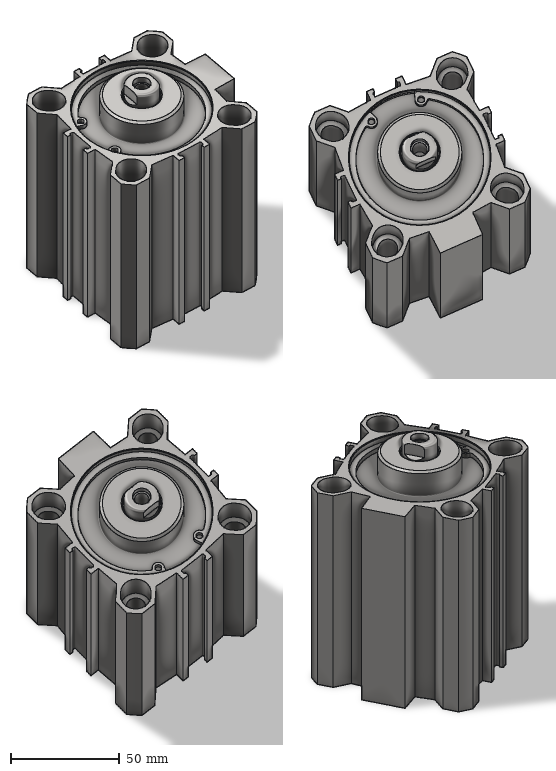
import cadquery as cq
import math

HALF_WIDTH = 40.0
HOUSING_HEIGHT = 101.8
OVERALL_HEIGHT = 117.0
LUG_CORNER_RADIUS = 53.1
LUG_INNER_EDGE = 27.1
LUG_FLANK_RUN = 6.4
WALL_PEAK = 35.3

RAIL_HALF_WIDTH = 9.0
RAIL_TOP = 39.1
RAIL_LIP_THICKNESS = 1.9
SLOT_FLOOR = 35.1
SLOT_NECK_WIDTH = 11.5
SLOT_CHAMBER_WIDTH = 13.3
SLOT_CORNER_RADIUS = 0.5
PORT_BLOCK_FACE = 46.0
PORT_BLOCK_FACE_WIDTH = 21.5
PORT_BLOCK_ROOT_WIDTH = 22.2
PORT_BLOCK_EMBED = 1.8

MOUNT_OFFSET = 30.4
MOUNT_ELONGATION = 1.4
MOUNT_HOLE_WIDTH = 9.0
MOUNT_COUNTERBORE_WIDTH = 14.0
MOUNT_COUNTERBORE_DEPTH = 14.0

BORE_DIAMETER = 65.0
BORE_CHAMFER = 0.4
RING_TOP_DEPTH = 2.8
RING_THICKNESS = 2.2
COVER_THICKNESS = 17.5
COVER_TOP = HOUSING_HEIGHT - RING_TOP_DEPTH - RING_THICKNESS
COVER_BOTTOM = COVER_TOP - COVER_THICKNESS

BOSS_DIAMETER = 38.8
BOSS_TOP = 110.0
BOSS_CHAMFER_WIDTH = 1.3
BOSS_CHAMFER_HEIGHT = 0.9
BOSS_ROOT_FILLET = 0.6
ROD_RECESS_DIAMETER = 17.7
ROD_RECESS_DEPTH = 3.5
ROD_STEP_DIAMETER = 18.0
ROD_STEP_DEPTH = 1.2
ROD_STEP_CHAMFER = 0.5

RING_OUTER_DIAMETER = 68.2
RING_INNER_DIAMETER = 59.0
RING_END_ANGLE = 20.4
EAR_RADIUS = 2.8
EAR_REACH = 28.7
EAR_HOLE_DIAMETER = 3.2
EAR_BLEND_RADIUS = 1.2

ROD_DIAMETER = 16.5
ROD_TOP_FILLET = 1.8
FLAT_OFFSET = 6.7
FLAT_LENGTH = 6.0
ROD_MOUTH_DIAMETER = 8.4
ROD_MOUTH_DEPTH = 3.2
ROD_HOLE_DIAMETER = 6.7
ROD_HOLE_DEPTH = 17.5
DRILL_POINT_ANGLE = 165.0

RAIL_ANGLES = (-90, 0, 90)


def turned(points):
    """Solid of revolution about Z from (radius, height) points."""
    return cq.Workplane("XZ").polyline(points).close().revolve(360, (0, 0, 0), (0, 1, 0))


def cylinder(diameter, bottom, top):
    return cq.Workplane("XY", origin=(0, 0, bottom)).circle(diameter / 2).extrude(top - bottom)


def rotated(body, angle):
    return body.rotate((0, 0, 0), (0, 0, 1), angle)


def prism(points):
    """Full-height housing prism over (x, y) points."""
    return cq.Workplane("XY").polyline(points).close().extrude(HOUSING_HEIGHT)


def lugged_prism():
    """Four corner lugs joined by slightly crowned walls."""
    flank_x = LUG_INNER_EDGE - LUG_FLANK_RUN
    flank_y = HALF_WIDTH - LUG_FLANK_RUN
    quarter = [
        (0, WALL_PEAK),
        (flank_x, flank_y),
        (LUG_INNER_EDGE, HALF_WIDTH),
        (HALF_WIDTH, HALF_WIDTH),
        (HALF_WIDTH, LUG_INNER_EDGE),
        (flank_y, flank_x),
    ]
    outline = []
    for _ in range(4):
        outline += quarter
        quarter = [(y, -x) for x, y in quarter]
    return prism(outline).intersect(cylinder(2 * LUG_CORNER_RADIUS, 0, HOUSING_HEIGHT))


def rail_pair():
    """Solid block on the -Y side that the slot turns into two hooked rails."""
    return cq.Workplane("XY").box(
        2 * RAIL_HALF_WIDTH, RAIL_TOP, HOUSING_HEIGHT, centered=(True, False, False)
    ).translate((0, -RAIL_TOP, 0))


def sensor_slot():
    """T-slot on the -Y side: a narrow neck opening into a wider chamber."""
    chamber_depth = RAIL_TOP - RAIL_LIP_THICKNESS - SLOT_FLOOR
    chamber = (
        cq.Workplane("XY")
        .box(SLOT_CHAMBER_WIDTH, chamber_depth, HOUSING_HEIGHT, centered=(True, False, False))
        .edges("|Z")
        .fillet(SLOT_CORNER_RADIUS)
    )
    neck = cq.Workplane("XY").box(
        SLOT_NECK_WIDTH, RAIL_TOP - SLOT_FLOOR, HOUSING_HEIGHT, centered=(True, False, False)
    )
    return rotated(neck.union(chamber).translate((0, SLOT_FLOOR, 0)), 180)


def port_block():
    """Slightly tapered block that carries the ports on the +Y side."""
    face = PORT_BLOCK_FACE_WIDTH / 2
    root = PORT_BLOCK_ROOT_WIDTH / 2
    root_depth = WALL_PEAK - PORT_BLOCK_EMBED
    return prism([(-root, root_depth), (-face, PORT_BLOCK_FACE), (face, PORT_BLOCK_FACE), (root, root_depth)])


def mounting_hole():
    """Counterbored hole through a lug, elongated towards the cylinder axis."""
    def elongated_cut(width, bottom):
        return (
            cq.Workplane("XY", origin=(0, 0, bottom))
            .slot2D(width + MOUNT_ELONGATION, width)
            .extrude(HOUSING_HEIGHT - bottom)
        )

    counterbore = elongated_cut(MOUNT_COUNTERBORE_WIDTH, HOUSING_HEIGHT - MOUNT_COUNTERBORE_DEPTH)
    hole = elongated_cut(MOUNT_HOLE_WIDTH, 0).union(counterbore)
    return rotated(hole.translate((MOUNT_OFFSET * math.sqrt(2), 0, 0)), 45)


def make_housing():
    housing = lugged_prism().union(port_block())
    for angle in RAIL_ANGLES:
        housing = housing.union(rotated(rail_pair(), angle)).cut(rotated(sensor_slot(), angle))
    for angle in (0, 90, 180, 270):
        housing = housing.cut(rotated(mounting_hole(), angle))

    bore = cylinder(BORE_DIAMETER, COVER_BOTTOM, HOUSING_HEIGHT)
    ring_groove = cylinder(RING_OUTER_DIAMETER, COVER_TOP, COVER_TOP + RING_THICKNESS)
    housing = housing.cut(bore).cut(ring_groove)
    mouth_radius = BORE_DIAMETER / 2 + BORE_CHAMFER
    mouth = turned([
        (0, HOUSING_HEIGHT),
        (mouth_radius, HOUSING_HEIGHT),
        (mouth_radius - BORE_CHAMFER, HOUSING_HEIGHT - BORE_CHAMFER),
        (0, HOUSING_HEIGHT - BORE_CHAMFER),
    ])
    return housing.cut(mouth)


def make_cover():
    """Disc in the bore with a central boss that guides the rod."""
    disc = cylinder(BORE_DIAMETER, COVER_BOTTOM, COVER_TOP)
    boss = cylinder(BOSS_DIAMETER, COVER_TOP, BOSS_TOP)
    boss = boss.faces(">Z").edges().chamfer(BOSS_CHAMFER_HEIGHT, BOSS_CHAMFER_WIDTH)
    cover = disc.union(boss)
    root = cq.selectors.RadiusNthSelector(0)
    root_edge = cq.selectors.BoxSelector(
        (-BOSS_DIAMETER, -BOSS_DIAMETER, COVER_TOP - 0.1), (BOSS_DIAMETER, BOSS_DIAMETER, COVER_TOP + 0.1)
    )
    cover = cover.edges("%CIRCLE").edges(root_edge).edges(root).fillet(BOSS_ROOT_FILLET)

    rod_radius = ROD_DIAMETER / 2
    recess_radius = ROD_RECESS_DIAMETER / 2
    step_radius = ROD_STEP_DIAMETER / 2
    rod_hole = turned([
        (0, COVER_BOTTOM),
        (rod_radius, COVER_BOTTOM),
        (rod_radius, BOSS_TOP - ROD_RECESS_DEPTH),
        (recess_radius, BOSS_TOP - ROD_RECESS_DEPTH),
        (recess_radius, BOSS_TOP - ROD_STEP_DEPTH),
        (step_radius, BOSS_TOP - ROD_STEP_DEPTH),
        (step_radius, BOSS_TOP - ROD_STEP_CHAMFER),
        (step_radius + ROD_STEP_CHAMFER, BOSS_TOP),
        (0, BOSS_TOP),
    ])
    return cover.cut(rod_hole)


def polar(radius, angle):
    return (radius * math.cos(angle), radius * math.sin(angle))


def make_retaining_ring():
    """Internal retaining ring in the housing groove, with a drilled ear at each end."""
    inner_radius = RING_INNER_DIAMETER / 2
    outer_radius = RING_OUTER_DIAMETER / 2

    ear_distance = math.hypot(EAR_REACH, EAR_RADIUS)
    ear_angle = math.atan2(EAR_RADIUS, EAR_REACH)
    blend_distance = inner_radius - EAR_BLEND_RADIUS
    blend_to_ear = EAR_RADIUS + EAR_BLEND_RADIUS
    blend_angle = ear_angle + math.acos(
        (ear_distance**2 + blend_distance**2 - blend_to_ear**2) / (2 * ear_distance * blend_distance)
    )
    blend_x, blend_y = polar(blend_distance, blend_angle)
    towards_ear = math.atan2(EAR_RADIUS - blend_y, EAR_REACH - blend_x)

    def on_blend(angle):
        x, y = polar(EAR_BLEND_RADIUS, angle)
        return (blend_x + x, blend_y + y)

    end_direction = math.radians(RING_END_ANGLE - 90)

    def right(point):
        """Turn a point from the +X axis to the right-hand ring end."""
        return polar(math.hypot(*point), math.atan2(point[1], point[0]) + end_direction)

    def left(point):
        x, y = right(point)
        return (-x, y)

    end_outer = (outer_radius, 0)
    ear_tangent = (EAR_REACH, 0)
    ear_nose = (EAR_REACH - EAR_RADIUS, EAR_RADIUS)
    ear_centre = (EAR_REACH, EAR_RADIUS)
    blend_at_ear = on_blend(towards_ear)
    blend_middle = on_blend((blend_angle + towards_ear) / 2)
    blend_at_ring = polar(inner_radius, blend_angle)

    ring = (
        cq.Workplane("XY")
        .moveTo(*right(ear_tangent))
        .lineTo(*right(end_outer))
        .threePointArc((0, outer_radius), left(end_outer))
        .lineTo(*left(ear_tangent))
        .threePointArc(left(ear_nose), left(blend_at_ear))
        .threePointArc(left(blend_middle), left(blend_at_ring))
        .threePointArc((0, inner_radius), right(blend_at_ring))
        .threePointArc(right(blend_middle), right(blend_at_ear))
        .threePointArc(right(ear_nose), right(ear_tangent))
        .close()
        .extrude(RING_THICKNESS)
    )
    ear_holes = (
        cq.Workplane("XY")
        .pushPoints([right(ear_centre), left(ear_centre)])
        .circle(EAR_HOLE_DIAMETER / 2)
        .extrude(RING_THICKNESS)
    )
    return ring.cut(ear_holes).translate((0, 0, COVER_TOP))


def make_rod():
    """Piston rod with two wrench flats and a stepped blind hole in its end."""
    rod = cylinder(ROD_DIAMETER, COVER_BOTTOM, OVERALL_HEIGHT).faces(">Z").edges().fillet(ROD_TOP_FILLET)

    flat_bottom = OVERALL_HEIGHT - FLAT_LENGTH
    reach = ROD_DIAMETER - FLAT_OFFSET
    flat_cut = (
        cq.Workplane("YZ")
        .polyline([
            (FLAT_OFFSET, flat_bottom),
            (FLAT_OFFSET, OVERALL_HEIGHT),
            (ROD_DIAMETER, OVERALL_HEIGHT),
            (ROD_DIAMETER, flat_bottom - reach),
        ])
        .close()
        .extrude(ROD_DIAMETER / 2, both=True)
    )
    rod = rod.cut(flat_cut).cut(rotated(flat_cut, 180))

    hole_radius = ROD_HOLE_DIAMETER / 2
    point_height = hole_radius / math.tan(math.radians(DRILL_POINT_ANGLE / 2))
    hole_bottom = OVERALL_HEIGHT - ROD_HOLE_DEPTH
    mouth_radius = ROD_MOUTH_DIAMETER / 2
    mouth_bottom = OVERALL_HEIGHT - ROD_MOUTH_DEPTH
    return rod.cut(turned([
        (0, hole_bottom - point_height),
        (hole_radius, hole_bottom),
        (hole_radius, mouth_bottom),
        (mouth_radius, mouth_bottom),
        (mouth_radius, OVERALL_HEIGHT),
        (0, OVERALL_HEIGHT),
    ]))


housing = make_housing()
cover = make_cover()
retaining_ring = make_retaining_ring()
rod = make_rod()

result = cq.Compound.makeCompound([housing.val(), cover.val(), retaining_ring.val(), rod.val()])